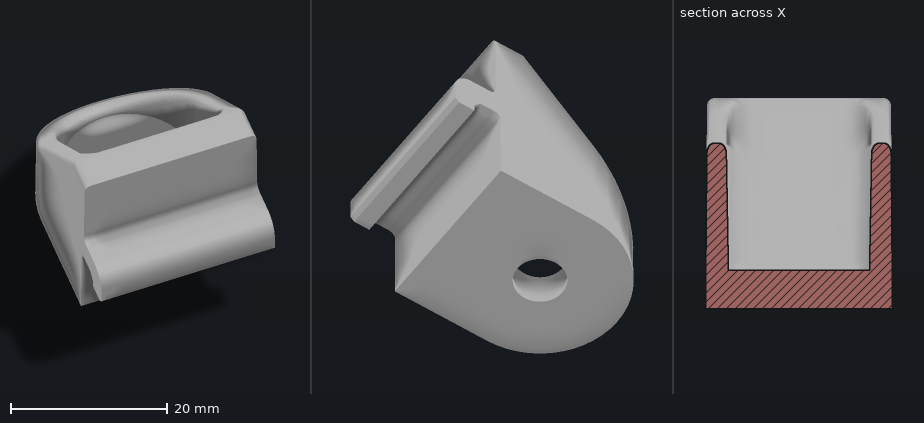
import cadquery as cq
import math

half_width = 12.0
height = 27.0
back_x = 15.0
block_draft = 0.5
slope_rise = 16.6
edge_radius = 1.0

wall = 3.0
floor_z = 5.0
pocket_back_x = 10.0
pocket_draft = 1.0
pocket_corner_radius = 2.0
hole_diameter = 7.0

lower_back_x = 14.3
hook_end_x = 21.3
hook_top_z = 15.3
hook_under_z = 11.65
hook_tip_z = 9.6
lip_x = 18.35
lip_chamfer = 1.0
tip_chamfer = 0.6
hook_outer_radius = 2.5
hook_root_radius = 1.0
hook_half_width = 11.87

nose_x = -half_width
crest_x = height - slope_rise
rim_limit_y = half_width - wall / 2
tolerance = 0.01


def x_slab(start_x, end_x, half_y=half_width):
    """Box from start_x to end_x, as tall as the part and symmetric in Y."""
    slab = cq.Workplane("XY").box(end_x - start_x, 2 * half_y, height, centered=(False, True, False))
    return slab.translate((start_x, 0, 0))


def side_profile():
    """Solid with the complete side outline, wider than the part."""
    inner = hook_root_radius * (1 - math.sqrt(0.5))
    outer = hook_outer_radius * (1 - math.sqrt(0.5))
    return (
        cq.Workplane("XZ")
        .moveTo(nose_x, 0)
        .lineTo(lower_back_x, 0)
        .lineTo(lower_back_x, hook_under_z - hook_root_radius)
        .threePointArc(
            (lower_back_x + inner, hook_under_z - inner),
            (lower_back_x + hook_root_radius, hook_under_z),
        )
        .lineTo(lip_x - lip_chamfer, hook_under_z)
        .lineTo(lip_x, hook_under_z - lip_chamfer)
        .lineTo(lip_x, hook_tip_z)
        .lineTo(hook_end_x - tip_chamfer, hook_tip_z)
        .lineTo(hook_end_x, hook_tip_z + tip_chamfer)
        .lineTo(hook_end_x, hook_top_z - hook_outer_radius)
        .threePointArc(
            (hook_end_x - outer, hook_top_z - outer),
            (hook_end_x - hook_outer_radius, hook_top_z),
        )
        .lineTo(back_x + hook_root_radius, hook_top_z)
        .threePointArc(
            (back_x + inner, hook_top_z + inner),
            (back_x, hook_top_z + hook_root_radius),
        )
        .lineTo(back_x, height)
        .lineTo(crest_x, height)
        .lineTo(nose_x, nose_x + slope_rise)
        .close()
        .extrude(half_width + edge_radius, both=True)
    )


def on_slope(edge):
    """True when both ends and the middle of an edge lie on the 45 degree slope."""
    points = [edge.startPoint(), edge.positionAt(0.5), edge.endPoint()]
    return all(abs(p.z - p.x - slope_rise) < tolerance for p in points)


def on_top(edge):
    """True when an edge lies on the flat top."""
    return edge.BoundingBox().zmin > height - tolerance


def on_back(edge):
    """True when an edge lies on the back face."""
    return edge.BoundingBox().xmin > back_x - tolerance


def make_block():
    """Drafted block, rounded along the slope and the top but not along the back."""
    overrun = 2.0
    drafted = (
        cq.Workplane("XY")
        .moveTo(back_x + overrun, -half_width)
        .lineTo(0, -half_width)
        .threePointArc((nose_x, 0), (0, half_width))
        .lineTo(back_x + overrun, half_width)
        .close()
        .extrude(height, taper=block_draft)
    )
    block = drafted.intersect(x_slab(nose_x, back_x)).intersect(side_profile())
    edges = [
        edge
        for edge in block.edges().vals()
        if (on_slope(edge) or on_top(edge)) and not on_back(edge)
    ]
    return block.newObject(edges).fillet(edge_radius)


def make_pocket():
    """Drafted pocket cutter with rounded back corners, standing on the pocket floor."""
    side_y = half_width - wall
    straight_x = pocket_back_x - pocket_corner_radius
    straight_y = side_y - pocket_corner_radius
    reach = pocket_corner_radius * math.sqrt(0.5)
    return (
        cq.Workplane("XY", origin=(0, 0, floor_z))
        .moveTo(straight_x, -side_y)
        .lineTo(0, -side_y)
        .threePointArc((-side_y, 0), (0, side_y))
        .lineTo(straight_x, side_y)
        .threePointArc((straight_x + reach, straight_y + reach), (pocket_back_x, straight_y))
        .lineTo(pocket_back_x, -straight_y)
        .threePointArc((straight_x + reach, -straight_y - reach), (straight_x, -side_y))
        .close()
        .extrude(height, taper=-pocket_draft)
    )


def round_pocket_rim(block):
    """Round the pocket mouth along the slope, running out just before the pocket's back wall."""
    rim = [
        edge
        for edge in block.edges().vals()
        if on_slope(edge) and max(abs(edge.startPoint().y), abs(edge.endPoint().y)) < rim_limit_y
    ]
    rounded = block.newObject(rim).fillet(edge_radius)
    sharp_rise = height - 2 * edge_radius - floor_z
    sharp_x = pocket_back_x + sharp_rise * math.tan(math.radians(pocket_draft))
    return rounded.union(block.intersect(x_slab(sharp_x, back_x)))


def make_hook():
    """Hook behind the back face, taken from the side outline at constant width."""
    return side_profile().intersect(x_slab(back_x, hook_end_x, hook_half_width))


def make_screw_hole():
    """Cutter for the vertical hole through the pocket floor."""
    return cq.Workplane("XY").circle(hole_diameter / 2).extrude(floor_z)


result = round_pocket_rim(make_block().cut(make_pocket()))
result = result.union(make_hook()).cut(make_screw_hole())